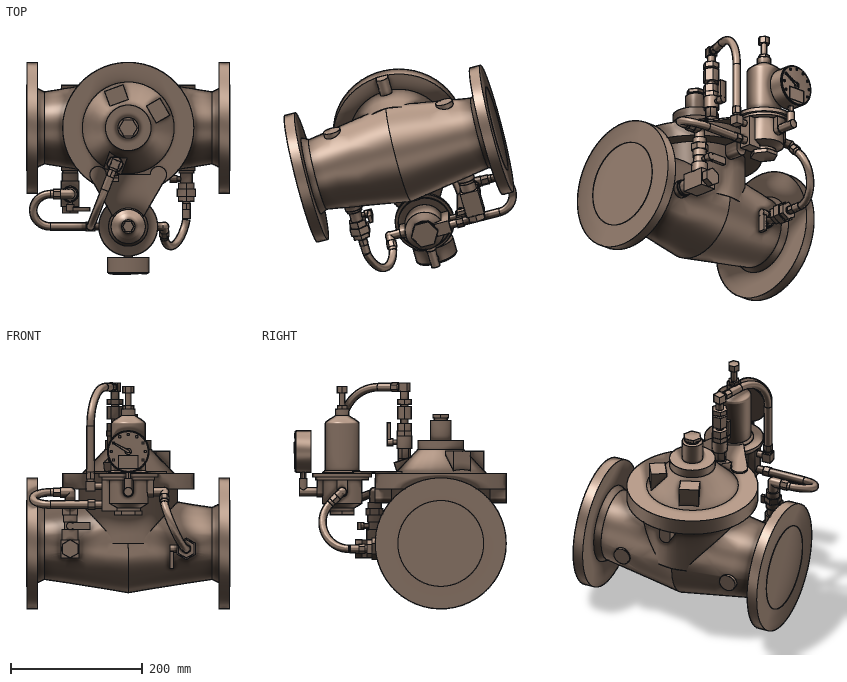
import cadquery as cq
import math

X_AXIS = (1, 0, 0)
Y_AXIS = (0, 1, 0)
Z_AXIS = (0, 0, 1)
LEFTWARD = (-1, 0, 0)
FRONTWARD = (0, -1, 0)
DOWNWARD = (0, 0, -1)

FACE_TO_FACE = 310.0
RAISED_FACE_HEIGHT = 0.6
RAISED_FACE_RADIUS = 65.5
PIPE_FLANGE_RADIUS = 100.0
PIPE_FLANGE_THICKNESS = 16.2
NECK_LENGTH = 10.2
NECK_ROOT_RADIUS = 60.0
NECK_RADIUS = 55.0
BODY_RADIUS = 75.4

COVER_BOTTOM = 83.0
COVER_TOP = 107.0
COVER_RADIUS = 100.0
CONE_BASE_RADIUS = 70.0
CONE_TOP_RADIUS = 34.8
CONE_TOP = 143.5
HUB_TOP = 157.0

PILOT_Y = -150.4
PILOT_FLANGE_RADIUS = 45.0
PILOT_SKIRT_BOTTOM = 97.0
PILOT_BODY_RADIUS = 30.0
PORT_REACH = 38.2
PORT_RADIUS = 7.9
PORT_Z = 78.9

HOSE_RADIUS = 6.0
BENT_HOSE_RADIUS = 5.75
SIDE_PORT_X = 88.6
SIDE_PORT_Z = -8.2
SIDE_PORT_Y = 65.0
SIDE_PORT_RADIUS = 13.2

JOINT_OVERLAP = 1.0

HANDLE_WIDTH = 11.2
HANDLE_THICKNESS = 5.5
HANDLE_BAR_OFFSET = 4.0
HANDLE_BAR_END = 30.0
HANDLE_STEM_RADIUS = 3.5

OVERALL_TOP = 245.05


def along(point, direction, distance):
    """Point moved a distance along a direction."""
    unit = cq.Vector(*direction).normalized()
    return (cq.Vector(*point) + unit * distance).toTuple()


def rod(start, direction, radius, length):
    """Round bar from a start point along a direction."""
    return cq.Workplane(cq.Solid.makeCylinder(radius, length, cq.Vector(*start), cq.Vector(*direction)))


def hexagon(start, direction, corner_direction, flats, length):
    """Hexagonal bar with one corner pointing along corner_direction."""
    plane = cq.Plane(origin=start, xDir=corner_direction, normal=direction)
    corners = flats / math.cos(math.pi / 6)
    return cq.Workplane(plane).polygon(6, corners).extrude(length)


def ball(center, radius):
    return cq.Workplane("XY").sphere(radius).translate(center)


def box_between(x_range, y_range, z_range):
    size = [high - low for low, high in (x_range, y_range, z_range)]
    center = tuple((low + high) / 2 for low, high in (x_range, y_range, z_range))
    return cq.Workplane("XY").box(*size).translate(center)


def fitting_stack(start, direction, corner_direction, sections):
    """Row of ("round", radius, length) and ("hex", flats, length) sections laid end to end."""
    pieces = []
    position = start
    for kind, size, length in sections:
        if kind == "hex":
            pieces.append(hexagon(position, direction, corner_direction, size, length))
        else:
            pieces.append(rod(position, direction, size, length))
        position = along(position, direction, length)
    return join(pieces)


def stack_length(sections):
    return sum(length for kind, size, length in sections)


def join(pieces):
    joined = pieces[0]
    for piece in pieces[1:]:
        joined = joined.union(piece)
    return joined


def sweep_hose(path):
    """Solid round hose along a path."""
    start = path.val().positionAt(0)
    tangent = path.val().tangentAt(0)
    return cq.Workplane(cq.Plane(origin=start, normal=tangent)).circle(BENT_HOSE_RADIUS).sweep(path)


def valve_handle(axis_point, stem_direction, bar_direction, hub_start, hub_end):
    """Shut-off lever: thin stem, round hub, and a flat bar flush with the hub's outer face.

    hub_start and hub_end are distances from axis_point along the stem.
    """
    stem = rod(axis_point, stem_direction, HANDLE_STEM_RADIUS, hub_end)
    hub_base = along(axis_point, stem_direction, hub_start)
    hub = rod(hub_base, stem_direction, HANDLE_WIDTH / 2, hub_end - hub_start)
    bar_base = along(axis_point, stem_direction, hub_end - HANDLE_THICKNESS)
    plane = cq.Plane(origin=bar_base, xDir=bar_direction, normal=stem_direction)
    bar_middle = (HANDLE_BAR_OFFSET + HANDLE_BAR_END) / 2
    bar = cq.Workplane(plane).center(bar_middle, 0).rect(HANDLE_BAR_END - HANDLE_BAR_OFFSET, HANDLE_WIDTH)
    bar = bar.extrude(HANDLE_THICKNESS)
    return join([stem, hub, bar])


def valve_body():
    face_x = FACE_TO_FACE / 2
    flange_front = face_x - RAISED_FACE_HEIGHT
    flange_back = flange_front - PIPE_FLANGE_THICKNESS
    neck_x = flange_back - NECK_LENGTH
    half_profile = [
        (0, BODY_RADIUS),
        (neck_x, NECK_RADIUS),
        (flange_back, NECK_ROOT_RADIUS),
        (flange_back, PIPE_FLANGE_RADIUS),
        (flange_front, PIPE_FLANGE_RADIUS),
        (flange_front, RAISED_FACE_RADIUS),
        (face_x, RAISED_FACE_RADIUS),
        (face_x, 0),
    ]
    mirrored = [(-x, radius) for x, radius in reversed(half_profile[1:])]
    outline = cq.Workplane("XY").polyline(mirrored + half_profile).close()
    return outline.revolve(360, (0, 0, 0), X_AXIS)


def side_tappings():
    return join([
        rod((x, -SIDE_PORT_Y, SIDE_PORT_Z), Y_AXIS, SIDE_PORT_RADIUS, 2 * SIDE_PORT_Y)
        for x in (-SIDE_PORT_X, SIDE_PORT_X)
    ])


def chamber_lugs():
    """Round-bottomed lugs under the cover, front and back of the upright chamber."""
    radius = 9.0
    center_z = 71.0
    round_part = rod((0, -COVER_RADIUS, center_z), Y_AXIS, radius, 2 * COVER_RADIUS)
    block = box_between((-radius, radius), (-COVER_RADIUS, COVER_RADIUS), (center_z, COVER_BOTTOM))
    return round_part.union(block)


def cover():
    housing_radius = 15.8
    housing_top = 187.5
    plug_neck_radius = 10.2
    plug_neck_top = 191.6
    plug_top = 197.0
    plug_flats = 24.2
    profile = [
        (0, 0),
        (BODY_RADIUS, 0),
        (BODY_RADIUS, COVER_BOTTOM),
        (COVER_RADIUS, COVER_BOTTOM),
        (COVER_RADIUS, COVER_TOP),
        (CONE_BASE_RADIUS, COVER_TOP),
        (CONE_TOP_RADIUS, CONE_TOP),
        (CONE_TOP_RADIUS, HUB_TOP),
        (housing_radius, HUB_TOP),
        (housing_radius, housing_top),
        (plug_neck_radius, housing_top),
        (plug_neck_radius, plug_neck_top),
        (0, plug_neck_top),
    ]
    turned = cq.Workplane("XZ").polyline(profile).close().revolve(360, (0, 0, 0), (0, 1, 0))
    plug = hexagon((0, 0, plug_neck_top), Z_AXIS, X_AXIS, plug_flats, plug_top - plug_neck_top)
    return turned.union(plug)


PAD_WIDTH = 30.0
PAD_DEPTH = 24.0
PAD_DISTANCE = 52.6
PAD_TOP = 140.8
PAD_ANGLES = (30, 110)


def cover_pads():
    """Upright rectangular pads on the cone."""
    height = PAD_TOP - COVER_TOP
    pad = cq.Workplane("XY").box(PAD_DEPTH, PAD_WIDTH, height)
    pad = pad.translate((PAD_DISTANCE, 0, COVER_TOP + height / 2))
    return join([pad.rotate((0, 0, 0), (0, 0, 1), angle) for angle in PAD_ANGLES])


RISER_ANGLE = 250.0
RISER_DISTANCE = 59.0
RISER_PAD_SIDE = 28.6
RISER_PAD_DEPTH = 16.0
RISER_PAD_TILT = 18.0
RISER_PAD_CENTER_Z = 127.5
RISER_PAD_DISTANCE = 57.0


def riser_pad():
    """Pad tilted outwards on the cone, carrying the riser."""
    pad = cq.Workplane("XY").box(RISER_PAD_SIDE, RISER_PAD_SIDE, RISER_PAD_DEPTH)
    pad = pad.translate((0, 0, -RISER_PAD_DEPTH / 2)).rotate((0, 0, 0), (0, 1, 0), RISER_PAD_TILT)
    pad = pad.translate((RISER_PAD_DISTANCE, 0, RISER_PAD_CENTER_Z))
    return pad.rotate((0, 0, 0), (0, 0, 1), RISER_ANGLE)


def bracket():
    """Three-cornered plate joining cover and pilot, with equal round corners."""
    thickness = 2.6
    corner_radius = 12.5
    ear_x = 46.0
    ear_y = -71.3
    slant = math.atan2(ear_x, ear_y - PILOT_Y)
    offset_x = corner_radius * math.cos(slant)
    offset_y = -corner_radius * math.sin(slant)
    right_side = [
        (ear_x, ear_y),
        (ear_x + offset_x, ear_y + offset_y),
        (offset_x, PILOT_Y + offset_y),
    ]
    left_side = [(-x, y) for x, y in reversed(right_side)]
    web = cq.Workplane("XY").workplane(offset=COVER_TOP).polyline(right_side + left_side).close()
    centers = [(-ear_x, ear_y), (ear_x, ear_y), (0, PILOT_Y)]
    ears = cq.Workplane("XY").workplane(offset=COVER_TOP).pushPoints(centers).circle(corner_radius)
    return web.extrude(thickness).union(ears.extrude(thickness))


def pilot_turned_part():
    spring_case_radius = 26.1
    flare_bottom = 108.0
    flare_top = 111.5
    shoulder_bottom = 182.0
    rim_top = 185.6
    rim_radius = 24.3
    rim_mid = (25.6, 184.0)
    shoulder_top = 189.4
    shoulder_radius = 19.3
    cap_bottom = 195.0
    cap_top = 205.0
    cap_radius = 10.4
    flange_step = 101.0
    skirt_radius = 40.4
    body_bottom = 61.0
    taper_bottom = 53.8
    foot_radius = 18.5
    foot_bottom = 49.5
    plug_flats = 36.5
    plug_length = 5.8
    outline = (
        cq.Workplane("XZ", origin=(0, PILOT_Y, 0))
        .moveTo(0, foot_bottom)
        .lineTo(foot_radius, foot_bottom)
        .lineTo(foot_radius, taper_bottom)
        .lineTo(PILOT_BODY_RADIUS, body_bottom)
        .lineTo(PILOT_BODY_RADIUS, PILOT_SKIRT_BOTTOM)
        .lineTo(skirt_radius, PILOT_SKIRT_BOTTOM)
        .lineTo(skirt_radius, flange_step)
        .lineTo(PILOT_FLANGE_RADIUS, flange_step)
        .lineTo(PILOT_FLANGE_RADIUS, COVER_TOP)
        .lineTo(PILOT_BODY_RADIUS, COVER_TOP)
        .lineTo(PILOT_BODY_RADIUS, flare_bottom)
        .lineTo(spring_case_radius, flare_top)
        .lineTo(spring_case_radius, shoulder_bottom)
        .threePointArc(rim_mid, (rim_radius, rim_top))
        .lineTo(shoulder_radius, shoulder_top)
        .lineTo(cap_radius, cap_bottom)
        .lineTo(cap_radius, cap_top)
        .lineTo(0, cap_top)
        .close()
    )
    case = outline.revolve(360, (0, 0, 0), (0, 1, 0))
    adjuster = fitting_stack((0, PILOT_Y, cap_top), Z_AXIS, X_AXIS, [
        ("hex", 14.7, 5.0),
        ("round", 4.3, 19.6),
        ("hex", 15.0, 10.0),
    ])
    plug = hexagon((0, PILOT_Y, foot_bottom), DOWNWARD, X_AXIS, plug_flats, plug_length)
    return join([case, adjuster, plug])


MANIFOLD_LEFT = -40.0


def pilot_manifold():
    """Square block on the left of the pilot body that takes two of the hoses."""
    width = 20.0
    bottom = 49.5
    right = -17.5
    return box_between(
        (MANIFOLD_LEFT, right), (PILOT_Y - width / 2, PILOT_Y + width / 2), (bottom, PILOT_SKIRT_BOTTOM)
    )


def pilot_port(direction):
    """Port boss with a round lower edge, running outwards from the pilot axis."""
    plane = cq.Plane(origin=(0, PILOT_Y, PORT_Z), xDir=Z_AXIS, normal=direction)
    height = PILOT_SKIRT_BOTTOM - PORT_Z
    round_part = cq.Workplane(plane).circle(PORT_RADIUS).extrude(PORT_REACH)
    block = cq.Workplane(plane).center(height / 2, 0).rect(height, 2 * PORT_RADIUS).extrude(PORT_REACH)
    return round_part.union(block)


GAUGE_Z = 140.2
GAUGE_BACK_Y = -197.6
GAUGE_FRONT_Y = -220.4
GAUGE_FACE_Y = -222.4
GAUGE_MARK_Y = -223.0
GAUGE_NEEDLE_Y = -223.5


def gauge_layer(back_y, front_y):
    """Sketch plane at back_y on the gauge axis, and the depth forward to front_y."""
    plane = cq.Plane(origin=(0, back_y, GAUGE_Z), xDir=X_AXIS, normal=FRONTWARD)
    return cq.Workplane(plane), back_y - front_y


def gauge():
    case_radius = 31.8
    face_radius = 30.3
    mark_ring_radius = 26.0
    mark_radius = 1.8
    first_mark_angle = -30
    mark_step = 30
    mark_count = 9
    hub_radius = 4.8
    plate_width = 30.0
    plate_height = 20.0
    plate_center_z = -15.9
    needle_angle = 150.0
    needle_length = 26.0
    needle_tail = 3.6
    needle_root = 2.2
    needle_tip = 0.8

    layer, depth = gauge_layer(GAUGE_BACK_Y, GAUGE_FRONT_Y)
    case = layer.circle(case_radius).extrude(depth)
    layer, depth = gauge_layer(GAUGE_FRONT_Y, GAUGE_FACE_Y)
    face = layer.circle(face_radius).extrude(depth)

    layer, depth = gauge_layer(GAUGE_FACE_Y, GAUGE_MARK_Y)
    mark_angles = [math.radians(first_mark_angle + mark_step * i) for i in range(mark_count)]
    mark_points = [(mark_ring_radius * math.cos(a), mark_ring_radius * math.sin(a)) for a in mark_angles]
    marks = layer.pushPoints(mark_points).circle(mark_radius).extrude(depth)
    plate = layer.center(0, plate_center_z).rect(plate_width, plate_height).extrude(depth)
    hub = layer.circle(hub_radius).extrude(depth)
    layer, depth = gauge_layer(GAUGE_FACE_Y, GAUGE_NEEDLE_Y)
    needle = layer.transformed(rotate=(0, 0, needle_angle)).polyline([
        (-needle_tail, 0), (0, -needle_root), (needle_length, -needle_tip),
        (needle_length, needle_tip), (0, needle_root),
    ]).close().extrude(depth)
    return join([case, face, marks, plate, needle, hub])


def gauge_pipe():
    """Short elbow pipe from the front port up to the gauge."""
    pipe_radius = 6.6
    upright_radius = 6.0
    upright_y = -209.6
    upright_top = 99.0
    shank_flats = 7.6
    port_face_y = PILOT_Y - PORT_REACH
    end_y = upright_y - upright_radius
    level = rod((0, port_face_y, PORT_Z), FRONTWARD, pipe_radius, port_face_y - end_y)
    upright = rod((0, upright_y, PORT_Z), Z_AXIS, upright_radius, upright_top - PORT_Z)
    shank = hexagon((0, upright_y, upright_top), Z_AXIS, Y_AXIS, shank_flats, GAUGE_Z - upright_top)
    return join([level, upright, shank])


RISER_X = RISER_DISTANCE * math.cos(math.radians(RISER_ANGLE))
RISER_Y = RISER_DISTANCE * math.sin(math.radians(RISER_ANGLE))
RISER_BASE = 122.0
RISER_VALVE_BOTTOM = 145.0
RISER_VALVE_Z = 154.3
RISER_HOSE_X = -57.5
ELBOW_SIDE = 13.3
TOP_NUT_FLATS = 11.6
TOP_NUT_CORNER_RADIUS = TOP_NUT_FLATS / 2 / math.cos(math.pi / 6)
TOP_HOSE_Z = OVERALL_TOP - TOP_NUT_CORNER_RADIUS


def riser():
    tangential = (-RISER_Y, RISER_X, 0)
    foot = fitting_stack((RISER_X, RISER_Y, RISER_BASE), Z_AXIS, tangential, [
        ("round", 9.6, 7.6),
        ("hex", 16.8, 15.4),
    ])
    stack = fitting_stack((RISER_X, RISER_Y, RISER_VALVE_BOTTOM), Z_AXIS, X_AXIS, [
        ("round", 11.6, 18.6),
        ("hex", 22.0, 7.6),
        ("hex", 21.0, 12.0),
        ("round", 5.7, 6.2),
        ("hex", 21.0, 19.6),
        ("round", 5.7, 3.0),
        ("hex", 21.0, 7.8),
        ("round", 6.0, 14.0),
    ])
    handle = valve_handle((RISER_X, RISER_Y, RISER_VALVE_Z), FRONTWARD, Z_AXIS, 17.1, 26.4)
    return join([foot, stack, handle])


def riser_hose():
    """Leaves the riser level, bends down beside the pilot and ends in a square elbow."""
    start = (RISER_X, RISER_Y, TOP_HOSE_Z)
    run = cq.Vector(RISER_HOSE_X - RISER_X, PILOT_Y - RISER_Y, 0)
    outward = run.normalized().toTuple()
    side_angle = math.degrees(math.atan2(run.y, run.x))
    top_nut_start = 10.0
    top_nut_length = 10.5
    bend_start = 42.4
    bend_radius = run.Length - bend_start
    lower_tube_top = TOP_HOSE_Z - bend_radius
    lower_nut_top = 108.7
    lower_nut_bottom = 98.0
    lower_elbow_z = 87.1
    lower_elbow_side = 14.4
    lower_nut_flats = 12.0
    tail_radius = 5.5
    inlet_radius = 5.0

    elbow = cq.Workplane("XY").box(ELBOW_SIDE, ELBOW_SIDE, ELBOW_SIDE)
    elbow = elbow.rotate((0, 0, 0), (0, 0, 1), side_angle).translate(start)
    coupling = fitting_stack(start, outward, Z_AXIS, [
        ("round", HOSE_RADIUS, top_nut_start),
        ("hex", TOP_NUT_FLATS, top_nut_length),
        ("round", HOSE_RADIUS, bend_start - top_nut_start - top_nut_length),
    ])
    bend_plane = cq.Plane(origin=start, xDir=outward, normal=cq.Vector(*outward).cross(cq.Vector(*Z_AXIS)))
    diagonal = bend_radius * math.sqrt(0.5)
    bend = cq.Workplane(bend_plane).moveTo(bend_start, 0).threePointArc(
        (bend_start + diagonal, diagonal - bend_radius), (run.Length, -bend_radius)
    )
    tube = rod((RISER_HOSE_X, PILOT_Y, lower_nut_top), Z_AXIS, HOSE_RADIUS, lower_tube_top - lower_nut_top)
    nut_base = (RISER_HOSE_X, PILOT_Y, lower_nut_bottom)
    nut = hexagon(nut_base, Z_AXIS, Y_AXIS, lower_nut_flats, lower_nut_top - lower_nut_bottom)
    tail = rod(nut_base, DOWNWARD, tail_radius, lower_nut_bottom - lower_elbow_z)
    lower_elbow = cq.Workplane("XY").box(ELBOW_SIDE, lower_elbow_side, lower_elbow_side)
    lower_elbow = lower_elbow.translate((RISER_HOSE_X, PILOT_Y, lower_elbow_z))
    inlet_length = MANIFOLD_LEFT + JOINT_OVERLAP - RISER_HOSE_X
    inlet = rod((RISER_HOSE_X, PILOT_Y, lower_elbow_z), X_AXIS, inlet_radius, inlet_length)
    return join([elbow, coupling, sweep_hose(bend), tube, nut, tail, lower_elbow, inlet])


LEFT_RISER_Y = -101.0
STRAINER_SIDE = 27.6
STRAINER_BACK_Y = -81.3
STRAINER_FRONT_Y = -120.0
LEFT_VALVE_Z = 26.6
LEFT_ELBOW_Z = 78.0
LEFT_ELBOW_RADIUS = 7.6
LEFT_HOSE_X = -118.5
LEFT_INLET_Z = 59.2


def left_branch():
    collar_length = 4.0
    plug_flats = 24.0
    plug_length = 10.0
    half = STRAINER_SIDE / 2
    top = SIDE_PORT_Z + half
    nipple = fitting_stack((-SIDE_PORT_X, -SIDE_PORT_Y, SIDE_PORT_Z), FRONTWARD, Z_AXIS, [
        ("round", 11.4, collar_length),
        ("round", 12.1, -STRAINER_BACK_Y - SIDE_PORT_Y - collar_length),
    ])
    strainer = box_between(
        (-SIDE_PORT_X - half, -SIDE_PORT_X + half),
        (STRAINER_FRONT_Y, STRAINER_BACK_Y),
        (SIDE_PORT_Z - half, top),
    )
    plug = hexagon((-SIDE_PORT_X, STRAINER_FRONT_Y, SIDE_PORT_Z), FRONTWARD, Z_AXIS, plug_flats, plug_length)
    sections = [
        ("round", 12.2, 15.4),
        ("round", 9.0, 11.6),
        ("round", 10.4, 10.4),
        ("hex", 22.6, 10.0),
        ("round", 10.3, 9.5),
    ]
    stack_top = top + stack_length(sections)
    sections.append(("round", LEFT_ELBOW_RADIUS, LEFT_ELBOW_Z - stack_top))
    stack = fitting_stack((-SIDE_PORT_X, LEFT_RISER_Y, top), Z_AXIS, Y_AXIS, sections)
    handle = valve_handle((-SIDE_PORT_X, LEFT_RISER_Y, LEFT_VALVE_Z), FRONTWARD, X_AXIS, 16.2, 25.8)
    return join([nipple, strainer, plug, stack, handle])


def left_hose():
    """Rounded elbow, sloping U bend and straight run into the pilot manifold."""
    elbow_center = (-SIDE_PORT_X, LEFT_RISER_Y, LEFT_ELBOW_Z)
    elbow_length = 14.4
    nut_length = 11.0
    nut_flats = 13.0
    inlet_nut_flats = 13.4
    inlet_nut_start = -61.0
    inlet_start = -51.0
    inlet_radius = 5.7
    tail_length = elbow_center[0] - LEFT_HOSE_X - elbow_length - nut_length
    coupling = fitting_stack(elbow_center, LEFTWARD, Y_AXIS, [
        ("round", LEFT_ELBOW_RADIUS, elbow_length),
        ("hex", nut_flats, nut_length),
        ("round", HOSE_RADIUS, tail_length),
    ])
    corner = ball(elbow_center, LEFT_ELBOW_RADIUS)
    bend_start = cq.Vector(LEFT_HOSE_X, LEFT_RISER_Y, LEFT_ELBOW_Z)
    bend_end = cq.Vector(LEFT_HOSE_X, PILOT_Y, LEFT_INLET_Z)
    bend_radius = (bend_end - bend_start).Length / 2
    bend_middle = (bend_start + bend_end) * 0.5 + cq.Vector(-bend_radius, 0, 0)
    bend = cq.Workplane(cq.Edge.makeThreePointArc(bend_start, bend_middle, bend_end))
    run = fitting_stack(bend_end.toTuple(), X_AXIS, Z_AXIS, [
        ("round", HOSE_RADIUS, inlet_nut_start - LEFT_HOSE_X),
        ("hex", inlet_nut_flats, inlet_start - inlet_nut_start),
        ("round", inlet_radius, MANIFOLD_LEFT + JOINT_OVERLAP - inlet_start),
    ])
    return join([coupling, corner, sweep_hose(bend), run])


RIGHT_VALVE_Y = -78.0
RIGHT_BRANCH_SECTIONS = [
    ("round", 11.4, 4.0),
    ("round", 9.1, 15.0),
    ("hex", 24.0, 9.5),
    ("hex", 28.4, 11.4),
    ("hex", 24.0, 7.2),
    ("round", 5.8, 3.2),
    ("hex", 12.4, 9.5),
    ("round", HOSE_RADIUS, 13.4),
]
RIGHT_HOSE_END_Y = -SIDE_PORT_Y - stack_length(RIGHT_BRANCH_SECTIONS)


def right_branch():
    stack = fitting_stack((SIDE_PORT_X, -SIDE_PORT_Y, SIDE_PORT_Z), FRONTWARD, Z_AXIS, RIGHT_BRANCH_SECTIONS)
    handle = valve_handle((SIDE_PORT_X, RIGHT_VALVE_Y, SIDE_PORT_Z), LEFTWARD, DOWNWARD, 14.0, 25.0)
    return stack.union(handle)


def right_hose():
    """Elbow on the right port pointing forwards and down, then a hose bending back to the branch."""
    elbow_center = (55.0, PILOT_Y, PORT_Z)
    elbow_radius = 6.4
    corner_radius = 6.8
    down_front = (0, -1, -1)
    coupling = [("round", elbow_radius, 10.0), ("hex", 13.0, 10.5), ("round", HOSE_RADIUS, 4.9)]
    inlet = rod((PORT_REACH, PILOT_Y, PORT_Z), X_AXIS, elbow_radius, elbow_center[0] - PORT_REACH)
    corner = ball(elbow_center, corner_radius)
    leg = fitting_stack(elbow_center, down_front, X_AXIS, coupling)
    start = along(elbow_center, down_front, stack_length(coupling))
    end = (SIDE_PORT_X, RIGHT_HOSE_END_Y, SIDE_PORT_Z)
    start_angle = math.radians(45)
    sweep_angle = math.radians(135)
    bend_radius = (start[2] - end[2]) / (1 + math.sin(start_angle))
    bend_center_y = start[1] + bend_radius * math.cos(start_angle)
    bend_center_z = end[2] + bend_radius

    def bend_point(fraction):
        """Circular bend seen along X, while X eases from the leg to the branch."""
        angle = start_angle - sweep_angle * fraction
        smooth = fraction * fraction * (3 - 2 * fraction)
        eased = (fraction + smooth) / 2
        return (
            start[0] + (end[0] - start[0]) * eased,
            bend_center_y - bend_radius * math.cos(angle),
            bend_center_z + bend_radius * math.sin(angle),
        )

    bend = cq.Workplane("XY").parametricCurve(bend_point, N=24, makeWire=True)
    return join([inlet, corner, leg, sweep_hose(bend)])


result = join([
    valve_body(),
    cover(),
    side_tappings(),
    chamber_lugs(),
    cover_pads(),
    riser_pad(),
    bracket(),
    pilot_turned_part(),
    pilot_manifold(),
    pilot_port(X_AXIS),
    pilot_port(FRONTWARD),
    gauge(),
    gauge_pipe(),
    riser(),
    riser_hose(),
    left_branch(),
    left_hose(),
    right_branch(),
    right_hose(),
])